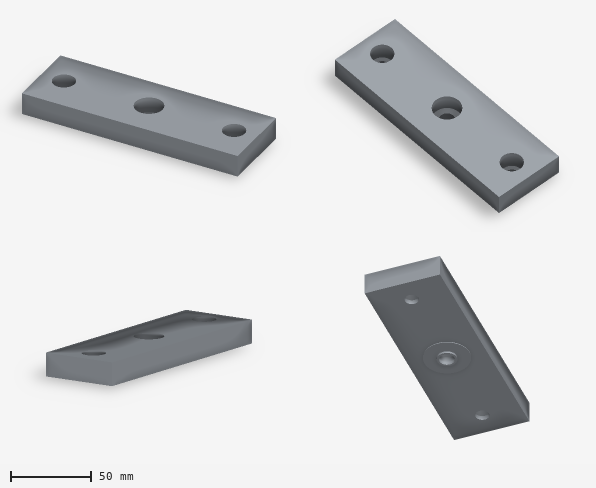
import cadquery as cq

PLATE_LENGTH = 152.0
PLATE_WIDTH = 50.0
PLATE_HEIGHT = 15.0

SCREW_SPACING = 120.0
SCREW_HOLE_DIAMETER = 9.0
SCREW_HEAD_DIAMETER = 15.0
SCREW_HEAD_DEPTH = 12.0

BORE_DIAMETER = 10.0
BORE_HEAD_DIAMETER = 19.0
BORE_HEAD_DEPTH = 10.8

OVERALL_HEIGHT = 16.9
WASHER_DIAMETER = 30.0
WASHER_THICKNESS = 0.5
RING_DIAMETER = 12.8
RING_HEIGHT = OVERALL_HEIGHT - PLATE_HEIGHT - WASHER_THICKNESS


def make_plate():
    """Rectangular plate with three holes counterbored from the top."""
    block = cq.Workplane("XY").box(
        PLATE_LENGTH, PLATE_WIDTH, PLATE_HEIGHT, centered=(True, True, False)
    )
    top = block.faces(">Z").workplane()
    bored = top.cboreHole(BORE_DIAMETER, BORE_HEAD_DIAMETER, BORE_HEAD_DEPTH)
    screw_places = [(-SCREW_SPACING / 2, 0), (SCREW_SPACING / 2, 0)]
    screw_top = bored.faces(">Z").workplane(origin=(0, 0, PLATE_HEIGHT)).pushPoints(screw_places)
    return screw_top.cboreHole(SCREW_HOLE_DIAMETER, SCREW_HEAD_DIAMETER, SCREW_HEAD_DEPTH)


def make_annulus(outer_diameter, height, top_z):
    """Round body around the central bore, hanging down from top_z."""
    profile = cq.Workplane("XY", origin=(0, 0, top_z)).circle(outer_diameter / 2).circle(BORE_DIAMETER / 2)
    return profile.extrude(-height)


plate = make_plate()
washer = make_annulus(WASHER_DIAMETER, WASHER_THICKNESS, 0)
ring = make_annulus(RING_DIAMETER, RING_HEIGHT, -WASHER_THICKNESS)

result = cq.Compound.makeCompound([plate.val(), washer.val(), ring.val()])